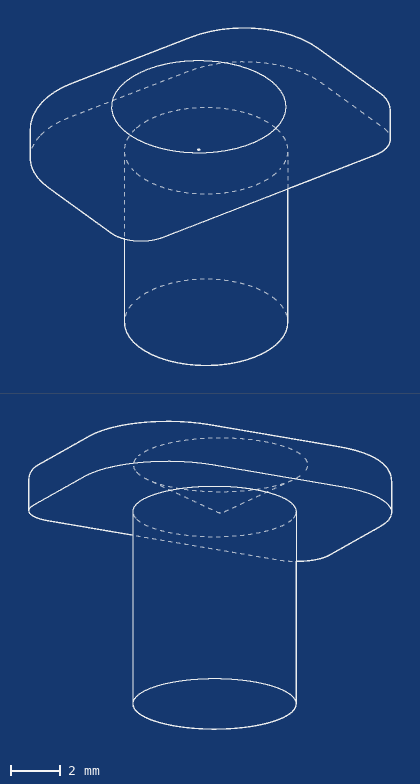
import cadquery as cq

head_length_x = 9.6
head_length_y = 13.6
head_thickness = 1.84
left_corner_radius = 3.82
right_corner_radius = 1.5
top_edge_radius = 0.5

total_height = 10.0
stem_diameter = 6.6
stem_offset_x = 0.5
stem_length = total_height - head_thickness

dimple_diameter = 7.03
dimple_tip_diameter = 0.1
dimple_depth = 2.04


def make_head():
    """Plate with large corners at -X, small corners at +X and a rounded top rim."""
    plate = (
        cq.Workplane("XY")
        .workplane(offset=stem_length)
        .rect(head_length_x, head_length_y)
        .extrude(head_thickness)
    )
    plate = plate.edges("|Z and <X").fillet(left_corner_radius)
    plate = plate.edges("|Z and >X").fillet(right_corner_radius)
    return plate.faces(">Z").edges().fillet(top_edge_radius)


def make_stem():
    """Plain cylinder standing on the bottom plane."""
    return (
        cq.Workplane("XY")
        .center(stem_offset_x, 0)
        .circle(stem_diameter / 2)
        .extrude(stem_length)
    )


def make_dimple():
    """Flat-tipped cone on the head's centre, pointing down from the top face."""
    cone = cq.Solid.makeCone(
        dimple_diameter / 2,
        dimple_tip_diameter / 2,
        dimple_depth,
        pnt=cq.Vector(0, 0, total_height),
        dir=cq.Vector(0, 0, -1),
    )
    return cq.Workplane(obj=cone)


result = make_head().union(make_stem()).cut(make_dimple())